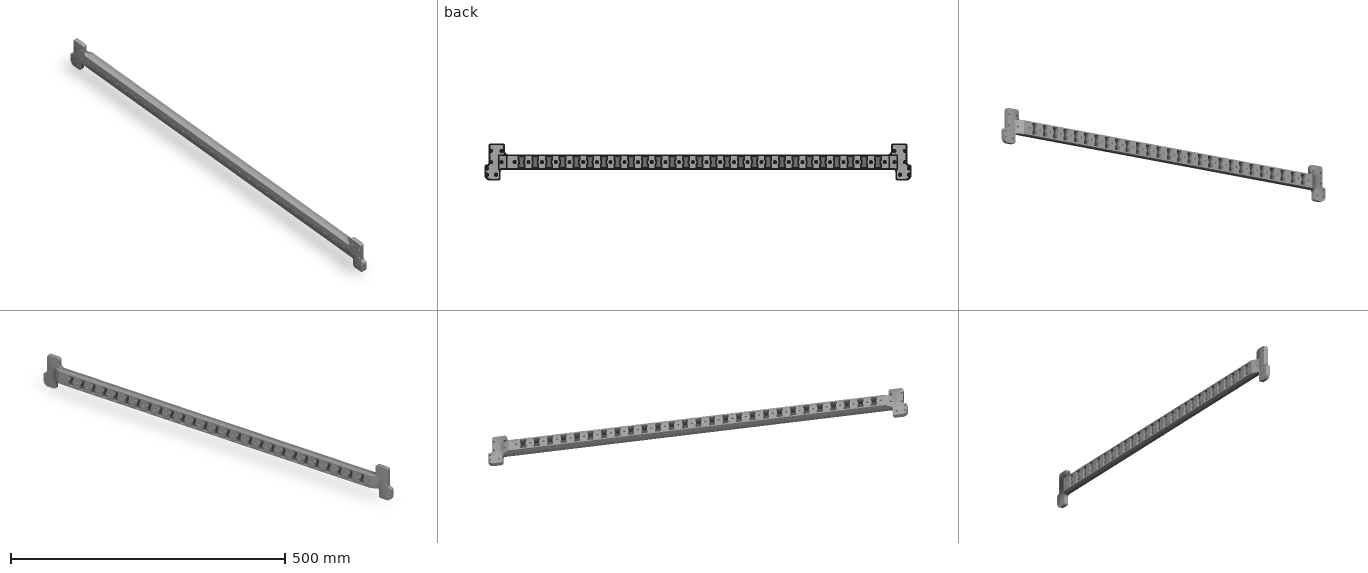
import cadquery as cq
import math

length = 777.0
height = 65.0
depth = 16.0

plate_thickness = 8.0
hook_outer = length / 2
hook_projection = 8.0
hook_width = 27.0
hook_top = 26.5
upright_width = 27.0
bar_bottom = 19.5
bar_top = 45.0
upright_outer = hook_outer - hook_projection
upright_inner = upright_outer - upright_width
hook_inner = hook_outer - hook_width

corner_radius = 4.0
hook_corner_radius = 10.0
neck_radius = 7.0

rib_front_half_length = 364.0
rib_end_angle = 30

hole_diameter = 4.0
hole_count = 28
hole_pitch = 25.0
hole_row_offset = -3.0
hole_z = (bar_bottom + bar_top) / 2
hole_xs = [hole_row_offset + (i - (hole_count - 1) / 2) * hole_pitch for i in range(hole_count)]

upright_hole_xs = (358.0, 378.0)
upright_hole_top_z = 53.0
end_holes = [(x, z) for x in upright_hole_xs for z in (hole_z, upright_hole_top_z)]
end_holes += [(368.0, 9.0), (385.0, 9.0), (385.0, 21.0)]

pocket_skin = 1.5
pocket_wall = 2.0
web_width = 13.0
boss_diameter = 16.0


def arc_point(center_x, center_z, radius, angle):
    """Point on a circle in the XZ plane, with the angle in degrees from +X."""
    turn = math.radians(angle)
    return (center_x + radius * math.cos(turn), center_z + radius * math.sin(turn))


def make_half_plate():
    """Plate to the right of the YZ plane."""
    r = corner_radius
    big = hook_corner_radius
    neck = neck_radius
    outline = (
        cq.Workplane("XZ")
        .moveTo(0, bar_bottom)
        .lineTo(hook_inner - r, bar_bottom)
        .threePointArc(arc_point(hook_inner - r, bar_bottom - r, r, 45), (hook_inner, bar_bottom - r))
        .lineTo(hook_inner, r)
        .threePointArc(arc_point(hook_inner + r, r, r, 225), (hook_inner + r, 0))
        .lineTo(hook_outer - big, 0)
        .threePointArc(arc_point(hook_outer - big, big, big, -45), (hook_outer, big))
        .lineTo(hook_outer, hook_top - r)
        .threePointArc(arc_point(hook_outer - r, hook_top - r, r, 45), (hook_outer - r, hook_top))
        .threePointArc(arc_point(upright_outer + r, hook_top + r, r, 225), (upright_outer, hook_top + r))
        .lineTo(upright_outer, height - r)
        .threePointArc(arc_point(upright_outer - r, height - r, r, 45), (upright_outer - r, height))
        .lineTo(upright_inner + r, height)
        .threePointArc(arc_point(upright_inner + r, height - r, r, 135), (upright_inner, height - r))
        .lineTo(upright_inner, bar_top + neck)
        .threePointArc(
            arc_point(upright_inner - neck, bar_top + neck, neck, -45), (upright_inner - neck, bar_top)
        )
        .lineTo(0, bar_top)
        .close()
    )
    return outline.extrude(-plate_thickness)


def make_rib():
    end_run = (depth - plate_thickness) / math.tan(math.radians(rib_end_angle))
    rear_half_length = rib_front_half_length - end_run
    outline = [
        (-rib_front_half_length, plate_thickness),
        (rib_front_half_length, plate_thickness),
        (rear_half_length, depth),
        (-rear_half_length, depth),
    ]
    base = cq.Workplane("XY", origin=(0, 0, bar_bottom))
    return base.polyline(outline).close().extrude(bar_top - bar_bottom)


def make_pockets():
    """Pockets open at the rear, leaving a web and a round boss at every bar hole."""
    floor = cq.Workplane("XZ", origin=(0, pocket_skin, 0))
    cut_depth = depth - pocket_skin
    pocket_height = bar_top - bar_bottom - 2 * pocket_wall
    centers = [(x + hole_pitch / 2, hole_z) for x in hole_xs[:-1]]
    pockets = floor.pushPoints(centers).rect(hole_pitch - web_width, pocket_height).extrude(-cut_depth)
    bosses = floor.pushPoints([(x, hole_z) for x in hole_xs]).circle(boss_diameter / 2).extrude(-cut_depth)
    return pockets.cut(bosses)


def make_holes():
    points = [(x, hole_z) for x in hole_xs]
    for x, z in end_holes:
        points += [(x, z), (-x, z)]
    return cq.Workplane("XZ").pushPoints(points).circle(hole_diameter / 2).extrude(-depth)


half_plate = make_half_plate()
plate = half_plate.union(half_plate.mirror("YZ"))
result = plate.union(make_rib()).cut(make_pockets()).cut(make_holes()).clean()